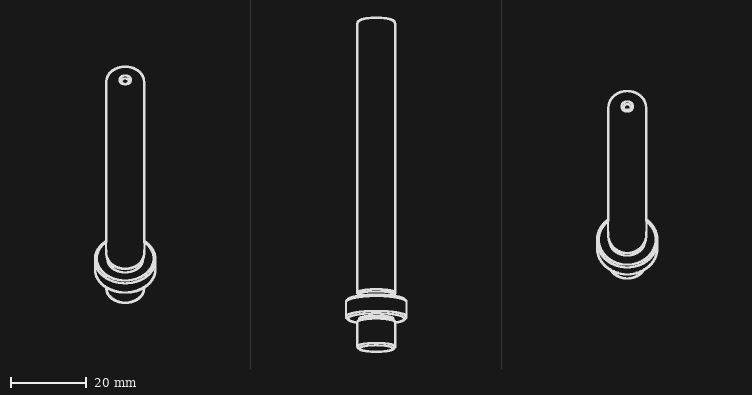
import cadquery as cq

total_length = 88.0
pin_radius = 5.0
flange_radius = 8.0

flange_bottom = 8.0
flange_thickness = 5.0
flange_top = flange_bottom + flange_thickness

edge_chamfer = 0.5
tip_fillet = 1.0

lower_groove_depth = 0.5
lower_groove_width = 1.0
upper_groove_depth = 0.3
upper_runout_length = 0.5
upper_groove_width = 1.9
lower_groove_radius = pin_radius - lower_groove_depth
upper_groove_radius = pin_radius - upper_groove_depth
lower_groove_start = flange_bottom - lower_groove_width
upper_groove_end = flange_top + upper_groove_width

hole_radius = 1.0
hole_mouth_radius = 1.5
hole_mouth_depth = hole_mouth_radius - hole_radius
hole_depth = 3.5
hole_tip_length = 0.5


def turned_body():
    """Revolve the half profile, given as (radius, height), about Z."""
    return (
        cq.Workplane("XZ")
        .moveTo(0, 0)
        .lineTo(pin_radius - edge_chamfer, 0)
        .lineTo(pin_radius, edge_chamfer)
        .lineTo(pin_radius, lower_groove_start)
        .lineTo(lower_groove_radius, lower_groove_start + lower_groove_depth)
        .lineTo(lower_groove_radius, flange_bottom)
        .lineTo(flange_radius - edge_chamfer, flange_bottom)
        .lineTo(flange_radius, flange_bottom + edge_chamfer)
        .lineTo(flange_radius, flange_top - edge_chamfer)
        .lineTo(flange_radius - edge_chamfer, flange_top)
        .lineTo(upper_groove_radius, flange_top)
        .lineTo(upper_groove_radius, upper_groove_end - upper_runout_length)
        .lineTo(pin_radius, upper_groove_end)
        .lineTo(pin_radius, total_length)
        .lineTo(0, total_length)
        .close()
        .revolve(360, (0, 0), (0, 1))
        .faces(">Z")
        .edges()
        .fillet(tip_fillet)
    )


def center_hole():
    """Countersunk blind hole with a conical bottom."""
    hole_floor = total_length - hole_depth
    return (
        cq.Workplane("XZ")
        .moveTo(0, total_length)
        .lineTo(hole_mouth_radius, total_length)
        .lineTo(hole_radius, total_length - hole_mouth_depth)
        .lineTo(hole_radius, hole_floor)
        .lineTo(0, hole_floor - hole_tip_length)
        .close()
        .revolve(360, (0, 0), (0, 1))
    )


result = turned_body().cut(center_hole())